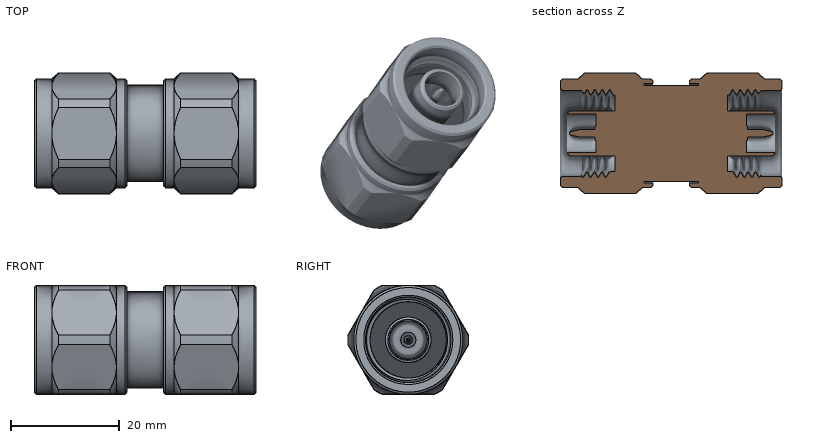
import cadquery as cq
import math

length = 40.7
half_length = length / 2

hex_sides = 6
across_flats = 20.0
collar_radius = across_flats / 2
across_corners = 22.18
corner_radius = across_corners / 2
nut_length = 17.0
nut_edge_chamfer = 0.4
hex_start = 3.2
hex_end = 15.05
hex_chamfer_length = 1.22

barrel_radius = 8.87
clearance_radius = 9.1
clearance_depth = 1.63
barrel_start = nut_length - clearance_depth

bore_radius = 7.85
bore_mouth_chamfer = 0.33
lead_in_start = 3.75
thread_crest_radius = 7.0
thread_root_radius = 8.0
thread_pitch = 1.4
thread_crest_width = 0.12
thread_start = 3.8
thread_turns = 4
bore_depth = thread_start + (thread_turns + 0.5) * thread_pitch
flank_slope = math.tan(math.radians(60))
ring_tilt = math.degrees(math.atan(thread_pitch / 4 / thread_crest_radius))
cutter_overlap = 0.15

sleeve_radius = 4.2
sleeve_bore_radius = 3.5
sleeve_start = 1.3
sleeve_chamfer_length = 0.4
sleeve_rim_radius = 3.75
sleeve_floor = 6.5
pin_radius = 0.75
pin_neck_radius = 0.35
pin_tip_radius = 0.15
pin_tip = 1.65
pin_tip_chamfer = 0.2
pin_taper_length = 1.85
pin_collar_radius = 1.4
pin_collar_height = 0.2


def turned(points):
    """Revolve (distance from end, radius) points about the X axis."""
    outline = [(distance - half_length, radius) for distance, radius in points]
    return cq.Workplane("XY").polyline(outline).close().revolve(360, (0, 0, 0), (1, 0, 0))


def nut_blank():
    rim_radius = collar_radius - nut_edge_chamfer
    return turned([
        (0, 0),
        (0, rim_radius),
        (nut_edge_chamfer, collar_radius),
        (nut_length - nut_edge_chamfer, collar_radius),
        (nut_length, rim_radius),
        (nut_length, 0),
    ])


def hexagon():
    sharp_corners = across_flats / math.cos(math.pi / hex_sides)
    prism = (
        cq.Workplane("YZ", origin=(hex_start - half_length, 0, 0))
        .polygon(hex_sides, sharp_corners)
        .extrude(hex_end - hex_start)
    )
    envelope = turned([
        (hex_start, 0),
        (hex_start, collar_radius),
        (hex_start + hex_chamfer_length, corner_radius),
        (hex_end - hex_chamfer_length, corner_radius),
        (hex_end, collar_radius),
        (hex_end, 0),
    ])
    return prism.intersect(envelope)


def rear_counterbore():
    return turned([
        (barrel_start, 0),
        (barrel_start, clearance_radius),
        (nut_length, clearance_radius),
        (nut_length, 0),
    ])


def bore():
    lead_in_length = bore_radius - thread_crest_radius
    return turned([
        (0, 0),
        (0, bore_radius + bore_mouth_chamfer),
        (bore_mouth_chamfer, bore_radius),
        (lead_in_start, bore_radius),
        (lead_in_start + lead_in_length, thread_crest_radius),
        (bore_depth, thread_crest_radius),
        (bore_depth, 0),
    ])


def thread_groove(crest_start):
    """Tilted groove that fills the pitch between one crest and the next."""
    start = crest_start + thread_crest_width
    end = crest_start + thread_pitch
    inner_radius = thread_crest_radius - cutter_overlap
    flank_length = (thread_root_radius - thread_crest_radius) / flank_slope
    overlap_length = cutter_overlap / flank_slope
    groove = turned([
        (start - overlap_length, inner_radius),
        (start + flank_length, thread_root_radius),
        (end - flank_length, thread_root_radius),
        (end + overlap_length, inner_radius),
    ])
    pivot_x = crest_start - half_length
    return groove.rotate((pivot_x, 0, 0), (pivot_x, 0, 1), -ring_tilt)


def sleeve():
    return turned([
        (sleeve_start, sleeve_bore_radius),
        (sleeve_start, sleeve_rim_radius),
        (sleeve_start + sleeve_chamfer_length, sleeve_radius),
        (bore_depth, sleeve_radius),
        (bore_depth, 0),
        (sleeve_floor, 0),
        (sleeve_floor, sleeve_bore_radius),
    ])


def pin():
    collar_face = sleeve_floor - pin_collar_height
    return turned([
        (pin_tip, 0),
        (pin_tip, pin_tip_radius),
        (pin_tip + pin_tip_chamfer, pin_neck_radius),
        (pin_tip + pin_taper_length, pin_radius),
        (collar_face, pin_radius),
        (collar_face, pin_collar_radius),
        (sleeve_floor, pin_collar_radius),
        (sleeve_floor, 0),
    ])


half = nut_blank().union(hexagon()).cut(rear_counterbore()).cut(bore())
for turn in range(thread_turns):
    half = half.cut(thread_groove(thread_start + turn * thread_pitch))
half = half.union(sleeve()).union(pin())

barrel = turned([
    (barrel_start, 0),
    (barrel_start, barrel_radius),
    (length - barrel_start, barrel_radius),
    (length - barrel_start, 0),
])
result = barrel.union(half).union(half.mirror("YZ"))